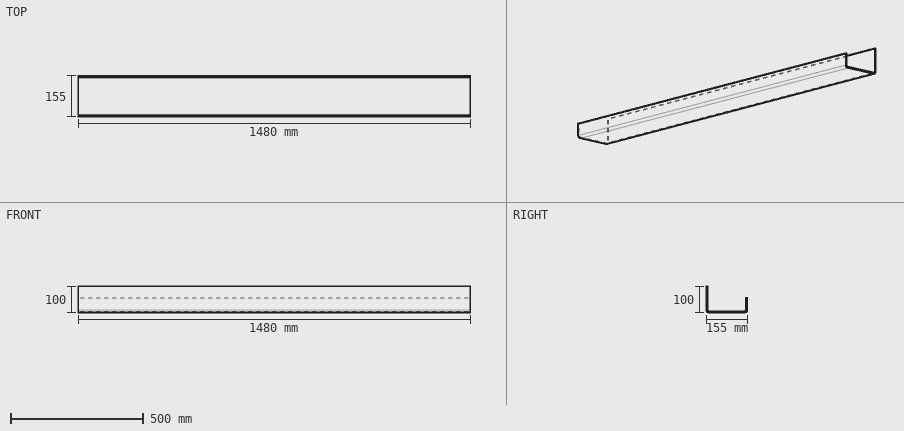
import cadquery as cq

length = 1480.0
width = 155.0
tall_wall_height = 100.0
short_wall_height = 55.0

thickness = 5.0
inner_bend_radius = 5.0
outer_bend_radius = inner_bend_radius + thickness


def channel_block(side_inset, floor_level, bend_radius):
    """Full-height bar with its two lower long edges rounded."""
    block_width = width - 2 * side_inset
    block_height = tall_wall_height - floor_level
    block = cq.Workplane("XY").box(length, block_width, block_height, centered=(True, True, False))
    return block.edges("|X and <Z").fillet(bend_radius).translate((0, 0, floor_level))


def short_wall_relief():
    """Block that lowers the +Y wall to its own height."""
    relief_height = tall_wall_height - short_wall_height
    relief = cq.Workplane("XY").box(length, width / 2, relief_height, centered=(True, False, False))
    return relief.translate((0, 0, short_wall_height))


outside = channel_block(0, 0, outer_bend_radius)
hollow = channel_block(thickness, thickness, inner_bend_radius)
result = outside.cut(hollow).cut(short_wall_relief())